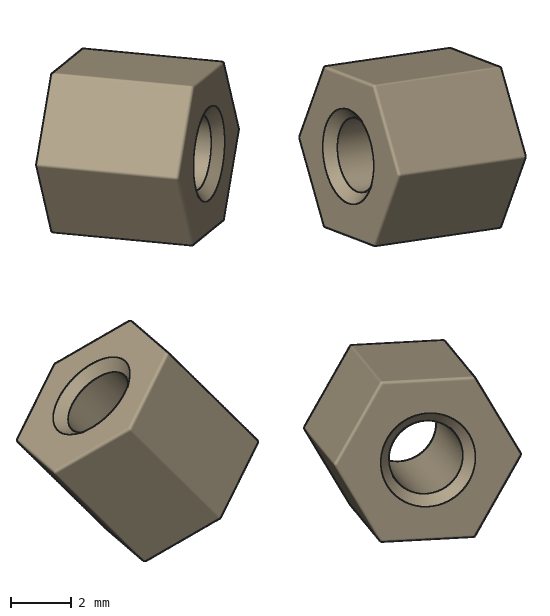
import cadquery as cq
import math

length = 5.0
across_flats = 5.5
edge_radius = 0.1
bore_diameter = 2.495
countersink_diameter = 3.2

across_corners = across_flats / math.cos(math.radians(30))
countersink_depth = (countersink_diameter - bore_diameter) / 2

hex_bar = (
    cq.Workplane("YZ")
    .polygon(6, across_corners)
    .extrude(length / 2, both=True)
    .edges()
    .fillet(edge_radius)
)

bore = cq.Workplane("YZ").circle(bore_diameter / 2).extrude(length / 2, both=True)
body = hex_bar.cut(bore)

result = body.faces("<X or >X").edges("%CIRCLE").chamfer(countersink_depth)